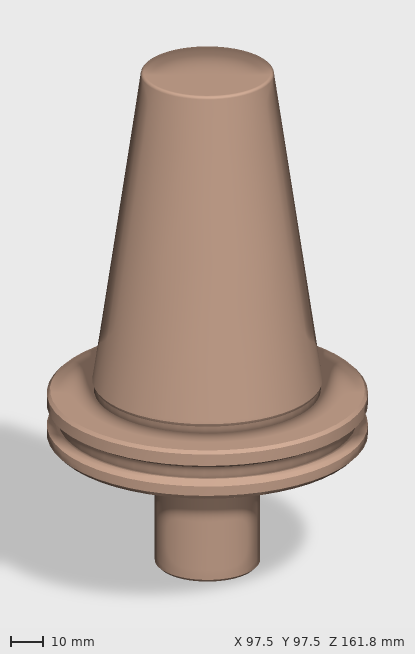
import cadquery as cq
import math

total_height = 161.8

taper_length = 101.5
gauge_radius = 35.0
taper_ratio = 7 / 24
tip_round = 1.0

neck_radius = 34.5
neck_taper_height = 1.0
neck_length = 3.2

flange_diameter = 97.5
flange_radius = flange_diameter / 2
flange_thickness = 16.2
flange_top_chamfer = 1.0
flange_bottom_chamfer = 1.6
groove_depth = 3.4
groove_mouth_width = 6.8
groove_floor_width = 3.9
groove_center_below_top = 8.1
groove_flank_angle = 30.0

spigot_radius = 16.0
spigot_chamfer = 1.0
spigot_root_fillet = 2.0

gauge_z = total_height - taper_length
flange_top = gauge_z - neck_length
flange_bottom = flange_top - flange_thickness
tip_radius = gauge_radius - taper_length * taper_ratio / 2

groove_z = flange_top - groove_center_below_top
groove_floor_radius = flange_radius - groove_depth
groove_floor_half = groove_floor_width / 2
groove_mouth_half = groove_mouth_width / 2
groove_flank_height = groove_mouth_half - groove_floor_half
groove_flank_depth = groove_flank_height / math.tan(math.radians(groove_flank_angle))
groove_ledge_radius = flange_radius - groove_flank_depth

half_profile = [
    (0, 0),
    (spigot_radius - spigot_chamfer, 0),
    (spigot_radius, spigot_chamfer),
    (spigot_radius, flange_bottom),
    (flange_radius - flange_bottom_chamfer, flange_bottom),
    (flange_radius, flange_bottom + flange_bottom_chamfer),
    (flange_radius, groove_z - groove_mouth_half),
    (groove_ledge_radius, groove_z - groove_floor_half),
    (groove_floor_radius, groove_z - groove_floor_half),
    (groove_floor_radius, groove_z + groove_floor_half),
    (groove_ledge_radius, groove_z + groove_floor_half),
    (flange_radius, groove_z + groove_mouth_half),
    (flange_radius, flange_top - flange_top_chamfer),
    (flange_radius - flange_top_chamfer, flange_top),
    (neck_radius, flange_top),
    (neck_radius, gauge_z - neck_taper_height),
    (gauge_radius, gauge_z),
    (tip_radius, total_height),
    (0, total_height),
]

body = cq.Workplane("XZ").polyline(half_profile).close().revolve(360, (0, 0), (0, 1))

body = body.faces(">Z").edges().fillet(tip_round)

root_corner = cq.selectors.BoxSelector(
    (-flange_radius, -flange_radius, flange_bottom - spigot_root_fillet),
    (flange_radius, flange_radius, flange_bottom + flange_bottom_chamfer / 2),
)
spigot_root = body.edges(root_corner).edges(cq.selectors.RadiusNthSelector(0))
result = spigot_root.fillet(spigot_root_fillet)